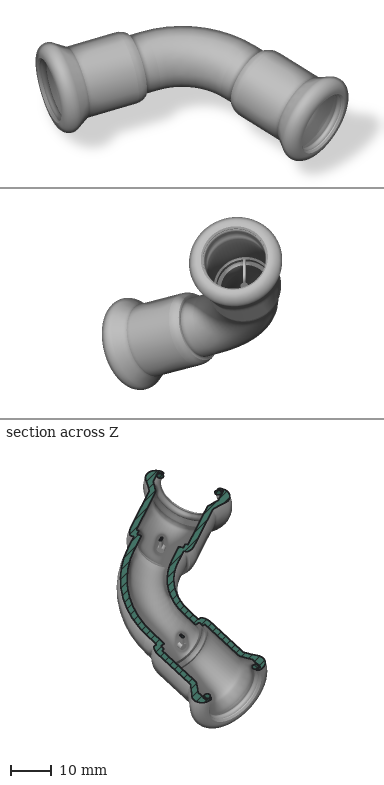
import cadquery as cq
import math

BEND_ANGLE = 60
BEND_RADIUS = 22.6
LEG_LENGTH = 26.45

TUBE_OUTER_R = 15 / 2
TUBE_BORE_R = 12.0 / 2

SOCKET_OUTER_R = 18.3 / 2
SOCKET_LENGTH = 22.6
SHOULDER_START = 20.15
SHOULDER_END_R = 8.3
FLARE_START = 7.2

BEAD_RADIUS = 2.6
BEAD_OUTER_R = 23.15 / 2
BEAD_CENTER_R = BEAD_OUTER_R - BEAD_RADIUS
BEAD_BACK = 4.2

MOUTH_R = 16.7 / 2
LIP_R = 15.8 / 2
LIP_CHAMFER = MOUTH_R - LIP_R
SOCKET_BORE_R = 15.2 / 2
STOP_DEPTH = 20.15
RECESS_R = 14.0 / 2
RECESS_DEPTH = 1.4

SEAL_SECTION_R = 0.8
SEAL_INNER_R = SOCKET_BORE_R
SEAL_CENTER_R = SEAL_INNER_R + SEAL_SECTION_R
CAVITY_START = 0.75
CAVITY_OUTER_R = SEAL_CENTER_R + SEAL_SECTION_R
SEAL_OFFSET = CAVITY_START + SEAL_SECTION_R
TAPER_ANGLE = 30
TAPER_END = 6.7
TAPER_START = TAPER_END - (CAVITY_OUTER_R - SOCKET_BORE_R) / math.tan(math.radians(TAPER_ANGLE))
TAPER_BLEND_R = 1.9

HUB_R = 1.9 / 2
WEB_WIDTH = 0.6


def arc_middle(center, radius, start_angle, end_angle):
    """Middle point of a circular arc; angles in radians."""
    angle = (start_angle + end_angle) / 2
    return center[0] + radius * math.cos(angle), center[1] + radius * math.sin(angle)


def revolve_about_leg(profile):
    """Revolve an (r, distance from mouth) profile about the first leg's axis."""
    return profile.close().revolve(360, (0, 0, 0), (0, 1, 0))


def on_second_leg(body):
    """Copy a first-leg body to the second leg by mirroring it in the bend's symmetry plane."""
    flipped = body.translate((-BEND_RADIUS, -LEG_LENGTH, 0)).mirror("XZ")
    turned = flipped.rotate((0, 0, 0), (0, 0, 1), -BEND_ANGLE)
    return turned.translate((BEND_RADIUS, LEG_LENGTH, 0))


def make_socket_exterior():
    bead_end_angle = math.asin((BEAD_BACK - BEAD_RADIUS) / BEAD_RADIUS)
    bead_center = (BEAD_CENTER_R, BEAD_RADIUS)
    bead_middle = arc_middle(bead_center, BEAD_RADIUS, -math.pi / 2, bead_end_angle)
    bead_back_r = BEAD_CENTER_R + BEAD_RADIUS * math.cos(bead_end_angle)

    shoulder_drop = SOCKET_OUTER_R - SHOULDER_END_R
    shoulder_length = SOCKET_LENGTH - SHOULDER_START
    shoulder_radius = (shoulder_length**2 + shoulder_drop**2) / (2 * shoulder_drop)
    shoulder_center = (SOCKET_OUTER_R - shoulder_radius, SHOULDER_START)
    shoulder_angle = math.asin(shoulder_length / shoulder_radius)
    shoulder_middle = arc_middle(shoulder_center, shoulder_radius, 0, shoulder_angle)

    return revolve_about_leg(
        cq.Workplane("XY")
        .lineTo(BEAD_CENTER_R, 0)
        .threePointArc(bead_middle, (bead_back_r, BEAD_BACK))
        .lineTo(SOCKET_OUTER_R, FLARE_START)
        .lineTo(SOCKET_OUTER_R, SHOULDER_START)
        .threePointArc(shoulder_middle, (SHOULDER_END_R, SOCKET_LENGTH))
        .lineTo(TUBE_OUTER_R, SOCKET_LENGTH)
        .lineTo(TUBE_OUTER_R, LEG_LENGTH)
        .lineTo(0, LEG_LENGTH)
    )


def make_socket_cavity():
    recess_end = STOP_DEPTH + RECESS_DEPTH

    taper = math.radians(TAPER_ANGLE)
    tangent_length = TAPER_BLEND_R * math.tan(taper / 2)
    blend_start = (
        SOCKET_BORE_R + tangent_length * math.sin(taper),
        TAPER_END - tangent_length * math.cos(taper),
    )
    blend_end = (SOCKET_BORE_R, TAPER_END + tangent_length)
    blend_center = (SOCKET_BORE_R + TAPER_BLEND_R, blend_end[1])
    blend_middle = arc_middle(blend_center, TAPER_BLEND_R, math.pi, math.pi + taper)

    return revolve_about_leg(
        cq.Workplane("XY")
        .lineTo(MOUTH_R, 0)
        .lineTo(LIP_R, LIP_CHAMFER)
        .lineTo(LIP_R, CAVITY_START)
        .lineTo(CAVITY_OUTER_R, CAVITY_START)
        .lineTo(CAVITY_OUTER_R, TAPER_START)
        .lineTo(*blend_start)
        .threePointArc(blend_middle, blend_end)
        .lineTo(SOCKET_BORE_R, STOP_DEPTH)
        .lineTo(RECESS_R, STOP_DEPTH)
        .lineTo(RECESS_R, recess_end)
        .lineTo(TUBE_BORE_R, recess_end)
        .lineTo(TUBE_BORE_R, LEG_LENGTH)
        .lineTo(0, LEG_LENGTH)
    )


def make_strut():
    web_top = (RECESS_R + TUBE_OUTER_R) / 2
    face = cq.Workplane("XZ", origin=(0, STOP_DEPTH, 0))
    hub = face.circle(HUB_R).extrude(-RECESS_DEPTH)
    web = face.center(0, web_top / 2).rect(WEB_WIDTH, web_top).extrude(-RECESS_DEPTH)
    return hub.union(web)


def make_bend(radius):
    return (
        cq.Workplane("XZ", origin=(0, LEG_LENGTH, 0))
        .circle(radius)
        .revolve(BEND_ANGLE, (BEND_RADIUS, 0, 0), (BEND_RADIUS, -1, 0))
    )


def make_fitting():
    fitting = make_bend(TUBE_OUTER_R).cut(make_bend(TUBE_BORE_R))
    leg = make_socket_exterior().cut(make_socket_cavity()).union(make_strut())
    return fitting.union(leg).union(on_second_leg(leg))


def make_seal():
    return (
        cq.Workplane("XY")
        .center(SEAL_CENTER_R, SEAL_OFFSET)
        .circle(SEAL_SECTION_R)
        .revolve(360, (-SEAL_CENTER_R, 0, 0), (-SEAL_CENTER_R, 1, 0))
    )


fitting = make_fitting()
seals = [make_seal(), on_second_leg(make_seal())]

result = cq.Compound.makeCompound([fitting.val(), *[seal.val() for seal in seals]])